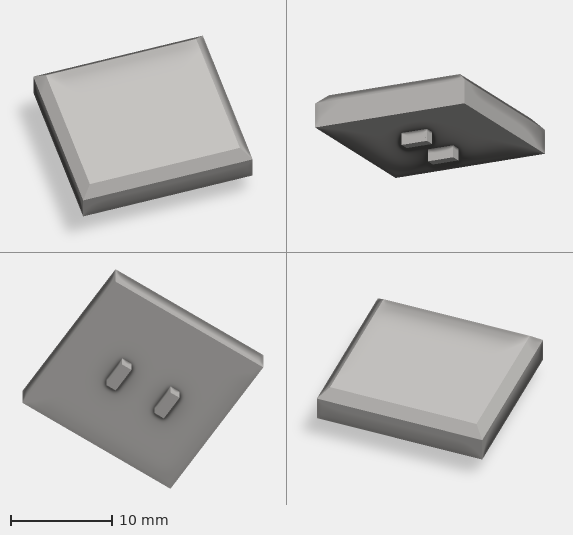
import cadquery as cq

cap_length_x = 16.5
cap_length_y = 17.5
cap_height = 3.5
cap_bevel = 1.0

overall_height = 4.75
leg_length_x = 2.8
leg_width_y = 1.1
leg_spacing = 5.7
tip_height = 0.4
leg_height = overall_height - cap_height - tip_height


def make_cap():
    """Slab standing on Z = 0 with all four top edges bevelled."""
    slab = cq.Workplane("XY").box(cap_length_x, cap_length_y, cap_height, centered=(True, True, False))
    return slab.faces(">Z").edges().chamfer(cap_bevel)


def make_leg_block(center_y, top_z, height):
    """Block with the leg cross-section, hanging down from top_z."""
    section = cq.Workplane("XY").workplane(offset=top_z).center(0, center_y)
    return section.rect(leg_length_x, leg_width_y).extrude(-height)


def make_leg(center_y):
    """Leg that starts at the underside of the cap."""
    return make_leg_block(center_y, 0, leg_height)


def make_leg_tip(center_y):
    """Tip that closes the lower end of a leg."""
    return make_leg_block(center_y, -leg_height, tip_height)


cap = make_cap()
bodies = [cap.val()]
for side in (-1, 1):
    leg_y = side * leg_spacing / 2
    leg = make_leg(leg_y)
    leg_tip = make_leg_tip(leg_y)
    bodies.append(leg.val())
    bodies.append(leg_tip.val())

result = cq.Compound.makeCompound(bodies)